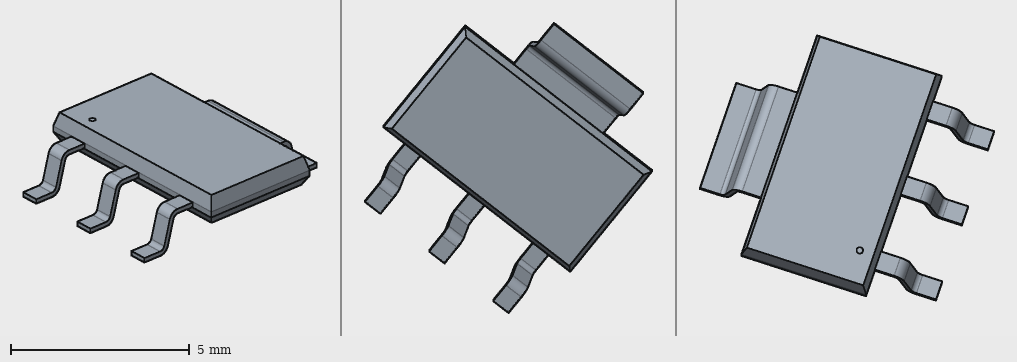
import cadquery as cq
import math

span = 7.29

housing_width = 6.68
housing_depth = 3.68
housing_bottom = 0.8
band_bottom = 1.1
band_top = 1.29
housing_top = 1.73
top_inset = 0.125
bottom_inset = 0.17

lead_thickness = 0.145
lead_top = 1.27
foot_length = 0.58
bend_radius = 0.16
lean = 15.0
lead_width = 0.555
lead_pitch = 2.29
lead_count = 3
tab_width = 3.2

marker_diameter = 0.18
marker_depth = 0.04
marker_x = -lead_pitch
marker_y = -1.305


def make_marker():
    """Round disc that fills the recess in the housing top."""
    return (
        cq.Workplane("XY", origin=(marker_x, marker_y, housing_top - marker_depth))
        .circle(marker_diameter / 2)
        .extrude(marker_depth)
    )


def housing_layer(z_low, z_high, inset_low, inset_high):
    """Rectangular layer whose sides may lean between two heights."""
    return (
        cq.Workplane("XY", origin=(0, 0, z_low))
        .rect(housing_width - 2 * inset_low, housing_depth - 2 * inset_low)
        .workplane(offset=z_high - z_low)
        .rect(housing_width - 2 * inset_high, housing_depth - 2 * inset_high)
        .loft(ruled=True)
    )


def make_housing(marker):
    """Straight band with tapered layers above and below, and a marker recess."""
    lower = housing_layer(housing_bottom, band_bottom, bottom_inset, 0)
    band = housing_layer(band_bottom, band_top, 0, 0)
    upper = housing_layer(band_top, housing_top, 0, top_inset)
    return lower.union(band).union(upper).cut(marker)


def make_bent_strip(width, x_center):
    """Gull-wing strip from the front face of the housing down to its foot."""
    bend_factor = math.tan(math.radians(90 - lean) / 2)
    corner_shift = lead_thickness * bend_factor
    rise = lead_top - lead_thickness

    tip_y = -span / 2
    root_y = -housing_depth / 2
    foot_inner_y = tip_y + foot_length + bend_radius * bend_factor
    foot_outer_y = foot_inner_y + corner_shift
    shoulder_outer_y = foot_inner_y + rise * math.tan(math.radians(lean))
    shoulder_inner_y = shoulder_outer_y + corner_shift

    strip = (
        cq.Workplane("YZ", origin=(x_center - width / 2, 0, 0))
        .moveTo(tip_y, 0)
        .lineTo(foot_outer_y, 0)
        .lineTo(shoulder_inner_y, rise)
        .lineTo(root_y, rise)
        .lineTo(root_y, lead_top)
        .lineTo(shoulder_outer_y, lead_top)
        .lineTo(foot_inner_y, lead_thickness)
        .lineTo(tip_y, lead_thickness)
        .close()
        .extrude(width)
    )
    inner_corners = [(foot_inner_y, lead_thickness), (shoulder_inner_y, rise)]
    outer_corners = [(foot_outer_y, 0), (shoulder_outer_y, lead_top)]
    strip = round_corners(strip, x_center, inner_corners, bend_radius)
    return round_corners(strip, x_center, outer_corners, bend_radius + lead_thickness)


def round_corners(strip, x_center, corners, radius):
    """Fillet the profile edges nearest to the given (Y, Z) corners."""
    for y, z in corners:
        nearest_edge = cq.selectors.NearestToPointSelector((x_center, y, z))
        strip = strip.edges("|X").edges(nearest_edge).fillet(radius)
    return strip


def make_leads():
    """Evenly pitched row of leads, each a separate solid."""
    leads = []
    for index in range(lead_count):
        x_center = (index - (lead_count - 1) / 2) * lead_pitch
        leads.append(make_bent_strip(lead_width, x_center))
    return leads


def make_tab():
    """Wide strip on the rear side, a half turn from the leads."""
    return make_bent_strip(tab_width, 0).rotate((0, 0, 0), (0, 0, 1), 180)


marker = make_marker()
housing = make_housing(marker)
leads = make_leads()
tab = make_tab()

bodies = [housing, marker, tab, *leads]
result = cq.Compound.makeCompound([body.solids().val() for body in bodies])